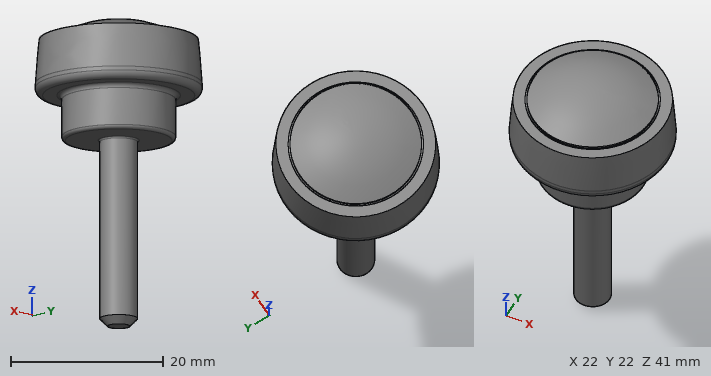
import cadquery as cq
import math

total_height = 41.0
rim_z = 38.5
dome_base_z = 38.62
band_top_z = 32.6
head_bottom_z = 31.08
collar_bottom_z = 25.0

shaft_radius = 2.5
collar_radius = 7.5
head_radius = 11.0
rim_radius = 10.5
groove_radius = 8.9
dome_radius = 8.65

tip_chamfer = 1.02
shaft_root_fillet = 0.2
collar_edge_fillet = 0.5
collar_root_fillet = 0.6
head_edge_fillet = 1.0
groove_depth = 0.12
side_bulge = 0.05

DIAGONAL = math.sqrt(0.5)


def corner_arc(profile, center, radius, side, end):
    """Add a quarter round passing through the diagonal point on the given side of its center."""
    middle = (
        center[0] + side[0] * radius * DIAGONAL,
        center[1] + side[1] * radius * DIAGONAL,
    )
    return profile.threePointArc(middle, end)


def add_shaft(profile):
    """Chamfered pin, flaring into the underside of the collar."""
    root_x = shaft_radius + shaft_root_fillet
    root_z = collar_bottom_z - shaft_root_fillet
    profile = (
        profile.lineTo(shaft_radius - tip_chamfer, 0)
        .lineTo(shaft_radius, tip_chamfer)
        .lineTo(shaft_radius, root_z)
    )
    return corner_arc(profile, (root_x, root_z), shaft_root_fillet, (-1, 1), (root_x, collar_bottom_z))


def add_collar(profile):
    """Cylinder with a rounded lower edge and a fillet under the head."""
    edge_x = collar_radius - collar_edge_fillet
    edge_z = collar_bottom_z + collar_edge_fillet
    root_x = collar_radius + collar_root_fillet
    root_z = head_bottom_z - collar_root_fillet
    profile = profile.lineTo(edge_x, collar_bottom_z)
    profile = corner_arc(profile, (edge_x, edge_z), collar_edge_fillet, (1, -1), (collar_radius, edge_z))
    profile = profile.lineTo(collar_radius, root_z)
    return corner_arc(profile, (root_x, root_z), collar_root_fillet, (-1, 1), (root_x, head_bottom_z))


def add_head(profile):
    """Rounded lower edge, short straight band, and a gently bowed taper to the flat rim."""
    edge_x = head_radius - head_edge_fillet
    edge_z = head_bottom_z + head_edge_fillet
    side_middle = ((head_radius + rim_radius) / 2 + side_bulge, (band_top_z + rim_z) / 2)
    profile = profile.lineTo(edge_x, head_bottom_z)
    profile = corner_arc(profile, (edge_x, edge_z), head_edge_fillet, (1, -1), (head_radius, edge_z))
    return (
        profile.lineTo(head_radius, band_top_z)
        .threePointArc(side_middle, (rim_radius, rim_z))
        .lineTo(groove_radius, rim_z)
    )


def add_dome(profile):
    """Narrow groove around a spherical cap that peaks on the axis."""
    rise = total_height - dome_base_z
    sphere_radius = (dome_radius**2 + rise**2) / (2 * rise)
    sphere_center_z = total_height - sphere_radius
    middle_x = dome_radius / 2
    middle_z = sphere_center_z + math.sqrt(sphere_radius**2 - middle_x**2)
    return (
        profile.lineTo(groove_radius, rim_z - groove_depth)
        .lineTo(dome_radius, rim_z - groove_depth)
        .lineTo(dome_radius, dome_base_z)
        .threePointArc((middle_x, middle_z), (0, total_height))
    )


section = cq.Workplane("XZ").moveTo(0, 0)
for add_feature in (add_shaft, add_collar, add_head, add_dome):
    section = add_feature(section)

result = section.close().revolve(360, (0, 0, 0), (0, 1, 0))